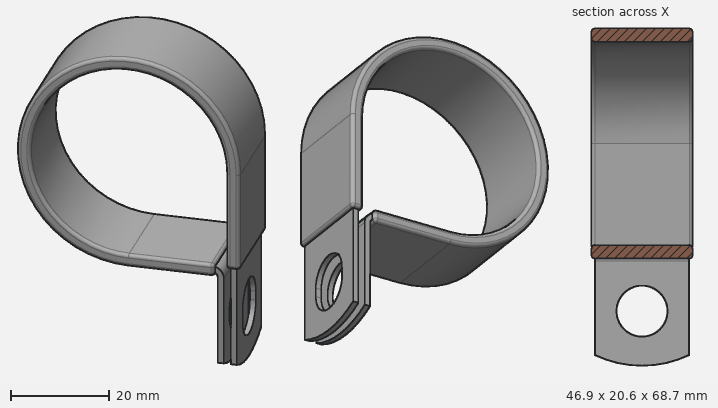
import cadquery as cq
import math

inner_radius = 20.651
cushion_wall = 0.762
strap_thickness = 1.27
strap_width = 19.116
tab_gap = 1.5
bend_inner_radius = 1.2
side_cushion_length = 21.435
lower_cushion_length = 18.1
tab_bottom_z = -45.215
tab_end_radius = 22.225
hole_diameter = 10.31875
slot_height = 12.3
hole_edge_distance = 11.1125

cushion_thickness = strap_thickness + 2 * cushion_wall
cushion_width = strap_width + 2 * cushion_wall
strap_inner_radius = inner_radius + cushion_wall
strap_outer_radius = strap_inner_radius + strap_thickness
cushion_outer_radius = inner_radius + cushion_thickness
bend_outer_radius = bend_inner_radius + strap_thickness
inner_tab_outer_x = strap_inner_radius - tab_gap
gap_middle_x = strap_inner_radius - tab_gap / 2
bend_start_x = inner_tab_outer_x - bend_outer_radius
bend_center_z = -strap_inner_radius - bend_outer_radius
hole_center_z = tab_bottom_z + hole_edge_distance
cos_45 = math.sqrt(0.5)


def loop_band(inner, outer, side_length, lower_length, width):
    """Three-quarter ring with a leg down at +X and a leg along +X at the bottom."""
    return (
        cq.Workplane("XZ")
        .moveTo(outer, -side_length)
        .lineTo(outer, 0)
        .threePointArc((-outer * cos_45, outer * cos_45), (0, -outer))
        .lineTo(lower_length, -outer)
        .lineTo(lower_length, -inner)
        .lineTo(0, -inner)
        .threePointArc((-inner * cos_45, inner * cos_45), (inner, 0))
        .lineTo(inner, -side_length)
        .close()
        .extrude(width / 2, both=True)
    )


def edges_near(body, x_range, z_range):
    """Edges of the body centred within the given X and Z ranges, at any Y."""
    low_corner = (x_range[0], -cushion_width, z_range[0])
    high_corner = (x_range[1], cushion_width, z_range[1])
    return body.edges(cq.selectors.BoxSelector(low_corner, high_corner))


def make_cushion():
    """Rubber sleeve around the loop, with every outer edge rounded."""
    sleeve = loop_band(
        inner_radius, cushion_outer_radius, side_cushion_length, lower_cushion_length, cushion_width
    )
    across_wall = (inner_radius - cushion_wall, cushion_outer_radius + cushion_wall)
    side_end = (-side_cushion_length - cushion_wall, -side_cushion_length + cushion_wall)
    lower_end = (lower_cushion_length - cushion_wall, lower_cushion_length + cushion_wall)
    below_wall = (-across_wall[1], -across_wall[0])

    rounded_edges = sleeve.faces("<Y or >Y").edges()
    rounded_edges = rounded_edges.add(edges_near(sleeve, across_wall, side_end))
    rounded_edges = rounded_edges.add(edges_near(sleeve, lower_end, below_wall))
    return rounded_edges.fillet(cushion_wall)


def make_bent_tab():
    """Quarter bend from the lower strap leg, continuing straight down as a tab."""
    return (
        cq.Workplane("XZ")
        .moveTo(bend_start_x, -strap_inner_radius)
        .threePointArc(
            (bend_start_x + bend_outer_radius * cos_45, bend_center_z + bend_outer_radius * cos_45),
            (inner_tab_outer_x, bend_center_z),
        )
        .lineTo(inner_tab_outer_x, tab_bottom_z)
        .lineTo(inner_tab_outer_x - strap_thickness, tab_bottom_z)
        .lineTo(inner_tab_outer_x - strap_thickness, bend_center_z)
        .threePointArc(
            (bend_start_x + bend_inner_radius * cos_45, bend_center_z + bend_inner_radius * cos_45),
            (bend_start_x, -strap_outer_radius),
        )
        .close()
        .extrude(strap_width / 2, both=True)
    )


def make_strap():
    """Metal strap inside the cushion, ending in two parallel tabs."""
    loop = loop_band(
        strap_inner_radius, strap_outer_radius, -tab_bottom_z, bend_start_x, strap_width
    )
    return loop.union(make_bent_tab())


def tab_outline():
    """Prism along X that bounds the strap and rounds the lower ends of both tabs."""
    half_width = strap_width / 2
    end_rise = tab_end_radius - math.sqrt(tab_end_radius**2 - half_width**2)
    return (
        cq.Workplane("YZ", origin=(-strap_outer_radius, 0, 0))
        .moveTo(-half_width, strap_outer_radius)
        .lineTo(-half_width, tab_bottom_z + end_rise)
        .threePointArc((0, tab_bottom_z), (half_width, tab_bottom_z + end_rise))
        .lineTo(half_width, strap_outer_radius)
        .close()
        .extrude(2 * strap_outer_radius)
    )


def bolt_hole():
    """Round bolt hole through the inner tab only."""
    return (
        cq.Workplane("YZ", origin=(0, 0, hole_center_z))
        .circle(hole_diameter / 2)
        .extrude(gap_middle_x)
    )


def adjusting_slot():
    """Vertical slot through the outer tab only, as wide as the bolt hole."""
    return (
        cq.Workplane("YZ", origin=(gap_middle_x, 0, hole_center_z))
        .slot2D(slot_height, hole_diameter, 90)
        .extrude(cushion_outer_radius - gap_middle_x)
    )


strap = make_strap().intersect(tab_outline()).cut(bolt_hole()).cut(adjusting_slot())
result = make_cushion().union(strap)